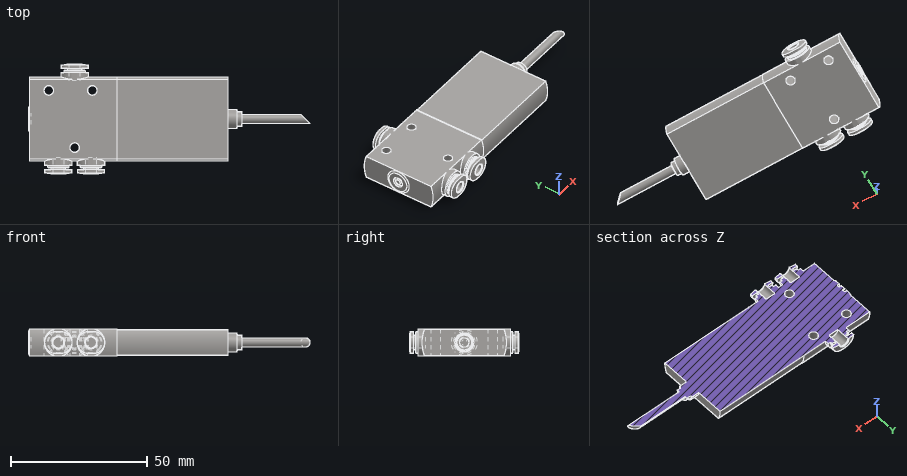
import cadquery as cq

overall_length = 103.5

block_length = 32.2
block_height = 10.0
side_width = 31.0
flat_width = 29.2

housing_length = 40.8
housing_height = 9.4
housing_end = block_length + housing_length

mounting_hole_diameter = 3.4
mounting_hole_offset = 10.5
mounting_holes = [
    (7.1, mounting_hole_offset),
    (23.1, mounting_hole_offset),
    (16.6, -mounting_hole_offset),
]

front_fitting_xs = (10.6, 22.6)
back_fitting_x = 16.6
fitting_root = 10.0
collar_diameter = 10.2
collar_end = 17.05
ring_diameter = 8.0
ring_end = 17.95
ring_chamfer = 0.3
neck_diameter = 5.4
flange_start = 18.6
flange_rim_end = 19.75
flange_end = 20.2
flange_height = 8.0
flange_width = 10.0
bore_diameter = 4.0
mouth_diameter = 4.6
mouth_depth = 0.3
bore_depth = 6.0

plug_diameter = 9.6
plug_face_diameter = 8.0
plug_projection = 0.4
recess_diameter = 4.0
recess_depth = 1.0
pin_diameter = 2.0

gland_diameter = 7.0
gland_length = 3.2
sleeve_diameter = 5.4
sleeve_length = 5.05
shoulder_diameter = 6.2
cove_end = 4.0
cove_sag = 0.15
cable_diameter = 3.4
cable_tip = overall_length - plug_projection


def crowned_bar(start, length, height):
    """Bar along X with flat top and bottom and arc-shaped sides."""
    half_flat = flat_width / 2
    half_side = side_width / 2
    half_height = height / 2
    return (
        cq.Workplane("YZ", origin=(start, 0, 0))
        .moveTo(-half_flat, half_height)
        .lineTo(half_flat, half_height)
        .threePointArc((half_side, 0), (half_flat, -half_height))
        .lineTo(-half_flat, -half_height)
        .threePointArc((-half_side, 0), (-half_flat, half_height))
        .close()
        .extrude(length)
    )


def plane_facing_front(x, distance):
    """Work plane normal to -Y at the given distance from the X axis."""
    return cq.Workplane("XZ", origin=(x, -distance, 0))


def disc_facing_front(x, diameter, start, end):
    return plane_facing_front(x, start).circle(diameter / 2).extrude(end - start)


def fitting_flange(x):
    """Oblong release flange with a conical outer face rising to the bore mouth."""
    oblong = (
        plane_facing_front(x, flange_start)
        .slot2D(flange_width, flange_height)
        .extrude(flange_end - flange_start)
    )
    disc = disc_facing_front(x, flange_width, flange_start, flange_rim_end)
    cone = (
        plane_facing_front(x, flange_rim_end)
        .circle(flange_width / 2)
        .workplane(offset=flange_end - flange_rim_end)
        .circle(mouth_diameter / 2)
        .loft(ruled=True)
    )
    return disc.union(cone).intersect(oblong)


def front_fitting(x):
    """Fitting pointing along -Y, without its bore."""
    collar = disc_facing_front(x, collar_diameter, fitting_root, collar_end)
    between_block_faces = cq.Workplane("XY", origin=(x, 0, 0)).box(
        collar_diameter, 2 * collar_end, block_height
    )
    collar = collar.intersect(between_block_faces)
    ring = disc_facing_front(x, ring_diameter, fitting_root, ring_end)
    ring = ring.faces("<Y").chamfer(ring_chamfer)
    neck = disc_facing_front(x, neck_diameter, fitting_root, flange_start)
    return collar.union(ring).union(neck).union(fitting_flange(x))


def front_bore(x):
    """Blind tube bore with a conical lead-in at its mouth."""
    bore = disc_facing_front(x, bore_diameter, flange_end - bore_depth, flange_end)
    mouth = (
        plane_facing_front(x, flange_end - mouth_depth)
        .circle(bore_diameter / 2)
        .workplane(offset=mouth_depth)
        .circle(mouth_diameter / 2)
        .loft(ruled=True)
    )
    return bore.union(mouth)


def facing_back(shape):
    """Mirror a -Y facing shape to the +Y side."""
    return shape.mirror("XZ")


def end_plug():
    return (
        cq.Workplane("YZ")
        .circle(plug_diameter / 2)
        .workplane(offset=-plug_projection)
        .circle(plug_face_diameter / 2)
        .loft(ruled=True)
    )


def plug_recess():
    """Ring-shaped recess that leaves a flush pin standing in its middle."""
    return (
        cq.Workplane("YZ", origin=(-plug_projection, 0, 0))
        .circle(recess_diameter / 2)
        .circle(pin_diameter / 2)
        .extrude(recess_depth)
    )


def cable_gland():
    """Stepped gland turned about the X axis, with a concave shoulder."""
    shoulder_radius = shoulder_diameter / 2
    sleeve_radius = sleeve_diameter / 2
    shoulder_middle = (
        housing_end + (gland_length + cove_end) / 2 - cove_sag,
        (shoulder_radius + sleeve_radius) / 2 - cove_sag / 2,
    )
    return (
        cq.Workplane("XY")
        .moveTo(housing_end, 0)
        .lineTo(housing_end, gland_diameter / 2)
        .lineTo(housing_end + gland_length, gland_diameter / 2)
        .lineTo(housing_end + gland_length, shoulder_radius)
        .threePointArc(shoulder_middle, (housing_end + cove_end, sleeve_radius))
        .lineTo(housing_end + sleeve_length, sleeve_radius)
        .lineTo(housing_end + sleeve_length, 0)
        .close()
        .revolve(360, (0, 0, 0), (1, 0, 0))
    )


def cable():
    """Cable cut off at 45 degrees, longest on its -Y side."""
    radius = cable_diameter / 2
    length = cable_tip - housing_end
    cord = cq.Workplane("YZ", origin=(housing_end, 0, 0)).circle(radius).extrude(length)
    offcut = (
        cq.Workplane("XY")
        .moveTo(cable_tip, -radius)
        .lineTo(cable_tip, radius)
        .lineTo(cable_tip - cable_diameter, radius)
        .close()
        .extrude(radius, both=True)
    )
    return cord.cut(offcut)


result = crowned_bar(0, block_length, block_height)
result = result.union(crowned_bar(block_length, housing_length, housing_height))
result = result.union(end_plug()).union(cable_gland()).union(cable())

for fitting_x in front_fitting_xs:
    result = result.union(front_fitting(fitting_x)).cut(front_bore(fitting_x))
result = result.union(facing_back(front_fitting(back_fitting_x)))
result = result.cut(facing_back(front_bore(back_fitting_x)))

result = result.cut(plug_recess())
holes = (
    cq.Workplane("XY")
    .pushPoints(mounting_holes)
    .circle(mounting_hole_diameter / 2)
    .extrude(block_height, both=True)
)
result = result.cut(holes)